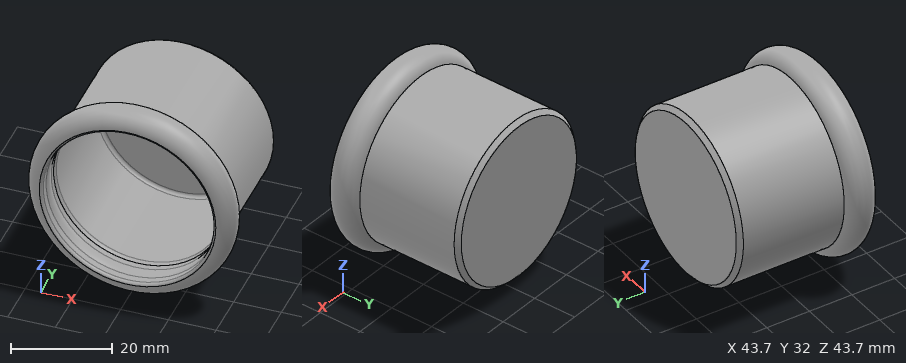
import cadquery as cq
import math

bead_diameter = 43.7
length = 32.0
body_radius = 38.4 / 2
bead_width = 7.5
end_chamfer = 1.0

mouth_radius = 35.8 / 2
bore_radius = 35.4 / 2
mouth_round = 0.75
seal_width = 2.9
seal_height = 0.2
taper_start_y = 6.6
taper_length = 0.95
floor_round = 0.75
floor_thickness = body_radius - bore_radius

bead_round = bead_width / 2
bead_center_radius = bead_diameter / 2 - bead_round
bead_center_y = bead_round


def outer_body():
    """Closed cylinder with a rounded bead at the mouth and a chamfered far end."""
    bead_end_y = bead_center_y + math.sqrt(bead_round**2 - (body_radius - bead_center_radius) ** 2)
    return (
        cq.Workplane("XY")
        .lineTo(bead_center_radius, 0)
        .threePointArc((bead_diameter / 2, bead_center_y), (body_radius, bead_end_y))
        .lineTo(body_radius, length - end_chamfer)
        .lineTo(body_radius - end_chamfer, length)
        .lineTo(0, length)
        .close()
        .revolve(360, (0, 0), (0, 1))
    )


def socket_cavity():
    """Blind bore with a rounded mouth, an inward seal ring and a curved step to the deep bore."""
    arc_middle = 1 - math.sqrt(0.5)
    floor_y = length - floor_thickness
    taper_end_y = taper_start_y + taper_length
    step = mouth_radius - bore_radius
    taper_round = (step**2 + taper_length**2) / (2 * step)
    half_angle = math.asin(taper_length / taper_round) / 2
    taper_middle = (
        bore_radius + taper_round * (1 - math.cos(half_angle)),
        taper_end_y - taper_round * math.sin(half_angle),
    )
    return (
        cq.Workplane("XY")
        .lineTo(mouth_radius + mouth_round, 0)
        .threePointArc(
            (mouth_radius + mouth_round * arc_middle, mouth_round * arc_middle),
            (mouth_radius, mouth_round),
        )
        .lineTo(mouth_radius, bead_center_y - seal_width / 2)
        .threePointArc(
            (mouth_radius - seal_height, bead_center_y),
            (mouth_radius, bead_center_y + seal_width / 2),
        )
        .lineTo(mouth_radius, taper_start_y)
        .threePointArc(taper_middle, (bore_radius, taper_end_y))
        .lineTo(bore_radius, floor_y - floor_round)
        .threePointArc(
            (bore_radius - floor_round * arc_middle, floor_y - floor_round * arc_middle),
            (bore_radius - floor_round, floor_y),
        )
        .lineTo(0, floor_y)
        .close()
        .revolve(360, (0, 0), (0, 1))
    )


result = outer_body().cut(socket_cavity())